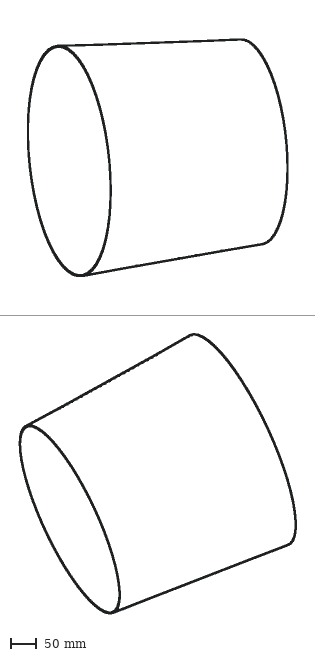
import cadquery as cq

large_diameter = 454.0
small_diameter = 404.0
length = 381.0
wall = 2.0

large_radius = large_diameter / 2
small_radius = small_diameter / 2

wall_section = (
    cq.Workplane("XY")
    .moveTo(large_radius - wall, 0)
    .lineTo(large_radius, 0)
    .lineTo(small_radius, length)
    .lineTo(small_radius - wall, length)
    .close()
)

result = wall_section.revolve(360, (0, 0, 0), (0, 1, 0))